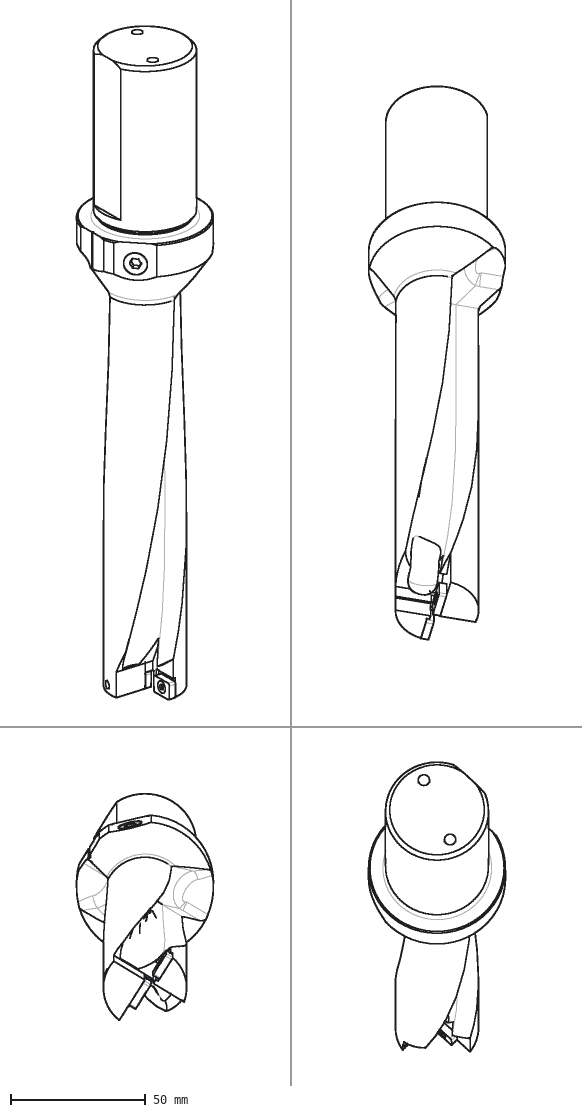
import cadquery as cq
import math


total_height = 262.1
tip_face_z = 0.5
cone_bottom_z = 163.3
flange_bottom_z = 179.3
flange_top_z = 192.7
shank_bottom_z = 193.7

cutter_radius = 15.5
flange_radius = 25.5
shank_radius = 19.1
neck_radius = 17.8
neck_relief_radius = 20.2
neck_relief_height = 0.5
shank_chamfer = 1.5
flange_chamfer = 0.5
cone_blend_height = 2.4
cone_blend_step = 0.8

shank_flat_offset = 17.3
shank_flat_bottom_z = 198.7
flange_front_flat_offset = 24.5
flange_plug_flat_offset = 24.0
plug_flat_angle = -45.0
mark_width = 0.8
mark_depth = 0.5

plug_z = 184.0
plug_radius = 4.5
plug_length = 6.5
plug_recess = 0.3
plug_socket_sides = 6
plug_socket_width = 4.5
plug_socket_depth = 2.5

coolant_radius = 2.0
coolant_x = 11.5
coolant_y = -5.0
coolant_depth = 68.2

flute_wall_x = -1.0
flute_wall_end_y = -6.8
flute_arc_radius = 7.9
flute_arc_angle = 145.0
flute_reach = 28.8
flute_top_z = 164.4
flute_bottom_z = 11.5
flute_twist = 80.0
flute_linear_share = 0.1
flute_outward_shift = 1.8
flute_sections = 9
flute_count = 2

runout_slope = 0.63
runout_left_x = -20.0
runout_peak_z = 182.5
runout_side_z = 178.8
runout_roof_radius = 5.2

inner_seat_y = -1.7
inner_gullet_wall_x = 2.4
inner_gullet_knee_z = 12.3
outer_gullet_wall_x = -2.5
outer_gullet_knee_z = 11.0
gullet_rim_x = -7.5
gullet_rim_z = 22.3
gullet_step_x = -8.7
gullet_outer_z = 26.2
gouge_radius = 5.5
gouge_x = 0.0
gouge_y = 5.5
gouge_ball_z = 15.2
gouge_length = 31.5
gouge_tilt = 29.0

opposite_side = 180.0
insert_thickness = 3.0
insert_height = 6.8
insert_corner_radius = 0.8
inner_insert_width = 11.0
inner_insert_x = -3.1
inner_insert_tilt = 2.0
outer_insert_width = 9.7
outer_insert_x = -10.5
inner_pocket_wall_x = 3.1
inner_pocket_gap = 0.3
outer_seat_y = inner_seat_y - 1.0
outer_pocket_side_gap = 0.8
outer_pocket_top_gap = 1.5
screw_z = 3.7
screw_radius = 1.5
screw_head_radius = 2.4
screw_head_height = 1.3
screw_length = 9.2
screw_socket_radius = 1.0
screw_socket_depth = 0.8

overcut = 5.2


def spun_about_axis(shape, angle):
    return shape.rotate((0, 0, 0), (0, 0, 1), angle)


def box_between(x_range, y_range, z_range):
    size = [high - low for low, high in (x_range, y_range, z_range)]
    return cq.Workplane("XY").box(*size, centered=False).translate((x_range[0], y_range[0], z_range[0]))


def turned_blank():
    tip = cq.Workplane("XY").workplane(offset=tip_face_z).circle(cutter_radius)
    tip = tip.extrude(cone_bottom_z - tip_face_z)
    head = (
        cq.Workplane("XZ")
        .moveTo(0, cone_bottom_z)
        .lineTo(cutter_radius, cone_bottom_z)
        .lineTo(cutter_radius + cone_blend_step, cone_bottom_z + cone_blend_height)
        .lineTo(flange_radius, flange_bottom_z)
        .lineTo(flange_radius, flange_top_z - flange_chamfer)
        .lineTo(flange_radius - flange_chamfer, flange_top_z)
        .lineTo(neck_relief_radius, flange_top_z)
        .lineTo(neck_radius, shank_bottom_z - neck_relief_height)
        .lineTo(neck_radius, shank_bottom_z)
        .lineTo(shank_radius, shank_bottom_z + shank_radius - neck_radius)
        .lineTo(shank_radius, total_height - shank_chamfer)
        .lineTo(shank_radius - shank_chamfer, total_height)
        .lineTo(0, total_height)
        .close()
        .revolve(360, (0, 0, 0), (0, 1, 0))
    )
    return tip.union(head)


def flat_cutter(offset, bottom_z, top_z):
    half = flange_radius + overcut
    return box_between((-half, half), (-half, -offset), (bottom_z, top_z))


def flange_flats():
    front = flat_cutter(flange_front_flat_offset, cone_bottom_z, flange_top_z)
    side = flat_cutter(flange_plug_flat_offset, cone_bottom_z, flange_top_z)
    return front.union(spun_about_axis(side, 90 + plug_flat_angle))


def index_mark():
    return box_between(
        (-mark_width / 2, mark_width / 2),
        (-flange_radius, -flange_front_flat_offset + mark_depth),
        (cone_bottom_z, flange_top_z),
    )


def flute_section(z, shift_x=0.0, shift_y=0.0):
    """Closed outline of the flute: a side wall and a round floor that runs off along its tangent."""
    arc_x = flute_wall_x - flute_arc_radius

    def arc_point(angle):
        turn = math.radians(angle)
        x = arc_x + flute_arc_radius * math.cos(turn)
        y = flute_wall_end_y + flute_arc_radius * math.sin(turn)
        return x, y

    rim_x, rim_y = arc_point(flute_arc_angle)
    rim_run = flute_reach + rim_x
    rim_drop = rim_run / math.tan(math.radians(180 - flute_arc_angle))
    return (
        cq.Workplane("XY")
        .workplane(offset=z)
        .center(shift_x, shift_y)
        .moveTo(flute_wall_x, -flute_reach)
        .lineTo(flute_wall_x, flute_wall_end_y)
        .threePointArc(arc_point(flute_arc_angle / 2), (rim_x, rim_y))
        .lineTo(-flute_reach, rim_y - rim_drop)
        .lineTo(-flute_reach, -flute_reach)
        .close()
        .wires()
        .val()
    )


def twisted_flute():
    """The flute turns slowly below the flange and faster towards the tip, getting shallower."""
    sections = []
    for index in range(flute_sections):
        share = index / (flute_sections - 1)
        z = flute_top_z + share * (flute_bottom_z - flute_top_z)
        turn = flute_linear_share * share + (1 - flute_linear_share) * share**2
        shift = -flute_outward_shift * share**2 * math.sqrt(0.5)
        sections.append(spun_about_axis(flute_section(z, shift, shift), -flute_twist * turn))
    return cq.Workplane(cq.Solid.makeLoft(sections))


def flute_runout():
    """Above the cutter the flute leans out with the cone and ends under an arched roof."""
    lean = runout_slope * (runout_peak_z - flute_top_z)
    leaning = cq.Solid.makeLoft(
        [flute_section(flute_top_z), flute_section(runout_peak_z, shift_y=-lean)], True
    )
    middle_x = (runout_left_x + flute_wall_x) / 2
    arch = (
        cq.Workplane("XZ")
        .moveTo(runout_left_x, flute_top_z)
        .lineTo(runout_left_x, runout_side_z)
        .threePointArc((middle_x, runout_peak_z), (flute_wall_x, runout_side_z))
        .lineTo(flute_wall_x, flute_top_z)
        .close()
        .extrude(2 * flute_reach, both=True)
    )
    runout = arch.intersect(cq.Workplane(leaning))
    return runout.faces(">Z").edges(">Y or >X").fillet(runout_roof_radius)


def flute():
    return twisted_flute().union(flute_runout())


def gullet(wall_x, knee_z):
    """Chip space at the tip, with a flat seat wall and a sloped rim."""
    return (
        cq.Workplane("XZ")
        .moveTo(wall_x, -overcut)
        .lineTo(wall_x, knee_z)
        .lineTo(gullet_rim_x, gullet_rim_z)
        .lineTo(gullet_step_x, flute_bottom_z)
        .lineTo(-flute_reach, gullet_outer_z)
        .lineTo(-flute_reach, -overcut)
        .close()
        .extrude(-flute_reach)
        .translate((0, inner_seat_y, 0))
    )


def gouge():
    """Ball-ended groove that leans outwards as it rises into the flute."""
    groove = cq.Workplane("XY").circle(gouge_radius).extrude(gouge_length)
    groove = groove.union(cq.Workplane("XY").sphere(gouge_radius))
    return groove.rotate((0, 0, 0), (0, 1, 0), -gouge_tilt).translate((gouge_x, gouge_y, gouge_ball_z))


def inner_pocket():
    return box_between(
        (-flute_reach, inner_pocket_wall_x),
        (inner_seat_y, flute_reach),
        (-overcut, insert_height + inner_pocket_gap),
    )


def outer_pocket():
    inner_x = outer_insert_x + outer_insert_width / 2 + outer_pocket_side_gap
    return box_between(
        (-flute_reach, inner_x),
        (outer_seat_y, flute_reach),
        (-overcut, insert_height + outer_pocket_top_gap),
    )


def y_cylinder(x, radius, start_y, end_y):
    """Round bar along Y at the screw height."""
    return (
        cq.Workplane("XZ", origin=(x, start_y, screw_z)).circle(radius).extrude(start_y - end_y)
    )


def insert_screw(x, seat):
    """Screw with its head flush with the cutting face and its shank going towards -Y."""
    face_y = seat + insert_thickness
    head = y_cylinder(x, screw_head_radius, face_y, face_y - screw_head_height)
    shank = y_cylinder(x, screw_radius, face_y, face_y - screw_length)
    return head.union(shank)


def socketed_insert_screw(x, seat):
    face_y = seat + insert_thickness
    socket = y_cylinder(x, screw_socket_radius, face_y, face_y - screw_socket_depth)
    return insert_screw(x, seat).cut(socket)


def cutting_insert(x, seat, width, tilt):
    plate = (
        cq.Workplane("XZ", origin=(x, seat, 0))
        .rect(width, insert_height)
        .extrude(-insert_thickness)
        .edges("|Y")
        .fillet(insert_corner_radius)
        .rotate((x, 0, 0), (x, 1, 0), tilt)
    )
    lowest_z = plate.val().BoundingBox().zmin
    return plate.translate((0, 0, -lowest_z)).cut(insert_screw(x, seat))


def plug_cylinder(radius, start, depth):
    """Bar going inwards from a distance `start` on the plug axis."""
    bar = cq.Workplane("YZ", origin=(start, 0, plug_z)).circle(radius).extrude(-depth)
    return spun_about_axis(bar, plug_flat_angle)


def side_plug():
    face = flange_plug_flat_offset - plug_recess
    socket = (
        cq.Workplane("YZ", origin=(face, 0, plug_z))
        .polygon(plug_socket_sides, plug_socket_width)
        .extrude(-plug_socket_depth)
    )
    return plug_cylinder(plug_radius, face, plug_length - plug_recess).cut(
        spun_about_axis(socket, plug_flat_angle)
    )


def drill_body():
    body = turned_blank()
    body = body.cut(flat_cutter(shank_flat_offset, shank_flat_bottom_z, total_height))
    body = body.cut(flange_flats()).cut(index_mark())
    body = body.cut(plug_cylinder(plug_radius, flange_plug_flat_offset, plug_length))
    body = body.cut(
        cq.Workplane("XY", origin=(0, 0, total_height))
        .pushPoints([(coolant_x, coolant_y), (-coolant_x, -coolant_y)])
        .circle(coolant_radius)
        .extrude(-coolant_depth)
    )
    for index in range(flute_count):
        body = body.cut(spun_about_axis(flute(), index * 360 / flute_count))
    inner_space = gullet(inner_gullet_wall_x, inner_gullet_knee_z)
    body = body.cut(inner_space).cut(gouge()).cut(inner_pocket())
    outer_space = gullet(outer_gullet_wall_x, outer_gullet_knee_z).union(outer_pocket())
    body = body.cut(spun_about_axis(outer_space, opposite_side))
    inner_hole = y_cylinder(inner_insert_x, screw_radius, inner_seat_y, -cutter_radius)
    outer_hole = insert_screw(outer_insert_x, outer_seat_y)
    return body.cut(inner_hole).cut(spun_about_axis(outer_hole, opposite_side))


housing = drill_body()
plug = side_plug()
inner_insert = cutting_insert(inner_insert_x, inner_seat_y, inner_insert_width, inner_insert_tilt)
outer_insert = cutting_insert(outer_insert_x, outer_seat_y, outer_insert_width, 0)
outer_insert = spun_about_axis(outer_insert, opposite_side)
inner_screw = socketed_insert_screw(inner_insert_x, inner_seat_y)
outer_screw = spun_about_axis(socketed_insert_screw(outer_insert_x, outer_seat_y), opposite_side)

bodies = [housing, plug, inner_insert, outer_insert, inner_screw, outer_screw]
result = cq.Compound.makeCompound([body.solids().val() for body in bodies])